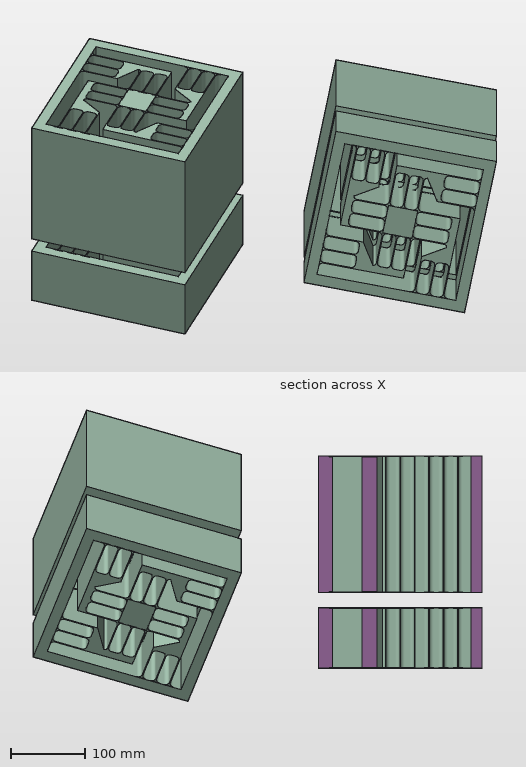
import cadquery as cq

side = 220.0
total_height = 285.31
lower_height = 81.65
gap_height = 20.0
upper_base = lower_height + gap_height
upper_height = total_height - upper_base

recess = 1.0

wall = 15.0
opening = side - 2 * wall
opening_half = opening / 2

post_width = 40.0
post_half = post_width / 2

beam_thickness = 1.2
beam_count = 3
slot_count = beam_count - 1
beam_pitch = (post_width - beam_thickness) / slot_count
slot_width = beam_pitch - beam_thickness
beam_length = 48.0
root_radius = 5.5

arm_thickness = 10.0
arm_inner = post_half + beam_length
arm_outer = arm_inner + arm_thickness
arm_end = -opening_half + beam_length
arm_low = arm_outer - post_width
arm_toe = 4.0
arm_relief = 4.0
arm_count = 4
arm_angle = 360 / arm_count


def block(x_min, x_max, y_min, y_max, height):
    """Rectangular block standing on the base plane."""
    return (
        cq.Workplane("XY")
        .box(x_max - x_min, y_max - y_min, height, centered=False)
        .translate((x_min, y_min, 0))
    )


def rounded_slot(x_min, x_max, y_min, y_max, height):
    """Cutter for the rounded space between two neighbouring beams."""
    return block(x_min, x_max, y_min, y_max, height).edges("|Z").fillet(root_radius)


def corner_fillet(x, y, x_direction, y_direction, radius, height):
    """Concave fillet in the inner corner at (x, y), spreading along the given directions."""
    arc_middle = radius * (1 - 0.5**0.5)
    return (
        cq.Workplane("XY")
        .moveTo(x, y)
        .lineTo(x + x_direction * radius, y)
        .threePointArc(
            (x + x_direction * arc_middle, y + y_direction * arc_middle),
            (x, y + y_direction * radius),
        )
        .close()
        .extrude(height)
    )


def arm_blank(height):
    """Outline of one arm and its two beam groups, before the slots are cut."""
    return (
        cq.Workplane("XY")
        .polyline(
            [
                (-opening_half, arm_outer),
                (post_half, arm_outer),
                (post_half, post_half),
                (-post_half, post_half),
                (-post_half, arm_inner),
                (-post_half - arm_relief, arm_inner),
                (arm_end + arm_toe, arm_low),
                (-opening_half, arm_low),
            ]
        )
        .close()
        .extrude(height)
    )


def arm_with_beams(height):
    """One arm with its frame beams on the -X side and its post beams on the -Y side."""
    arm = arm_blank(height)
    for index in range(slot_count):
        offset = beam_thickness + index * beam_pitch
        frame_slot_y = arm_low + offset
        post_slot_x = -post_half + offset
        arm = arm.cut(
            rounded_slot(-opening_half, arm_end, frame_slot_y, frame_slot_y + slot_width, height)
        )
        arm = arm.cut(
            rounded_slot(post_slot_x, post_slot_x + slot_width, post_half, arm_inner, height)
        )
    arm = arm.union(corner_fillet(-opening_half, arm_outer, 1, 1, root_radius, height))
    arm = arm.union(corner_fillet(-opening_half, arm_low, 1, -1, root_radius, height))
    arm = arm.union(corner_fillet(-post_half, post_half, -1, 1, root_radius, height))
    return arm.union(corner_fillet(-post_half, arm_inner, -1, -1, arm_relief, height))


def stage(height):
    """Square frame carrying four arms, each a quarter turn from the last."""
    body = cq.Workplane("XY").rect(side, side).rect(opening, opening).extrude(height)
    arm = arm_with_beams(height - 2 * recess).translate((0, 0, recess))
    for index in range(arm_count):
        body = body.union(arm.rotate((0, 0, 0), (0, 0, 1), index * arm_angle))
    return body


post = block(-post_half, post_half, -post_half, post_half, total_height)
lower_stage = stage(lower_height)
upper_stage = stage(upper_height).translate((0, 0, upper_base))

result = post.union(lower_stage).union(upper_stage)